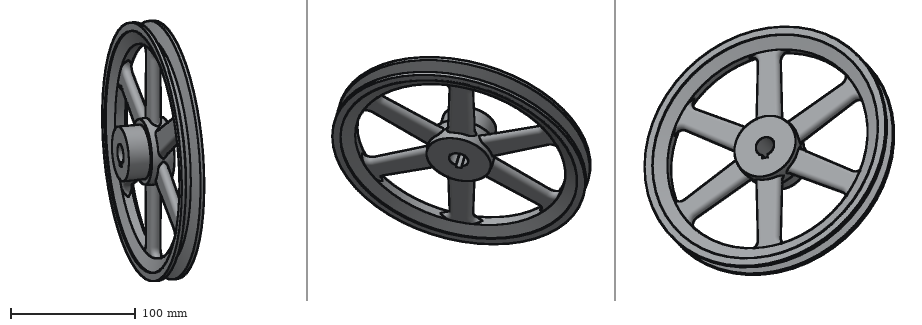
import cadquery as cq
import math

outer_radius = 209.55 / 2
rim_width = 19.05
overall_width = 37.31

groove_bottom_radius = 92.5
groove_bottom_width = 4.0
flange_land_width = 3.3

spoke_count = 6
spoke_side_radius = 4.2
spoke_thickness = 2 * spoke_side_radius
spoke_width_at_boss = 22.0
spoke_width_at_rim = 19.1
spoke_rim_fillet = 6.35
spoke_boss_fillet = 3.175

rim_inner_radius = 87.0
rim_mouth_radius = 98.0
rim_band_width = spoke_thickness
rim_lip_width = 1.0

hub_radius = 22.225
boss_face_radius = 26.6
boss_band_radius = 27.2
bore_diameter = 15.875
keyway_width = 4.7625
keyway_depth = 2.2

half_rim = rim_width / 2
hub_face_y = half_rim - overall_width


def revolve_about_y(points):
    """Revolve a closed (radius, y) outline about the Y axis."""
    return cq.Workplane("XY").polyline(points).close().revolve(360, (0, 0, 0), (0, 1, 0))


def make_rim():
    half_bottom = groove_bottom_width / 2
    land_edge = half_rim - flange_land_width
    half_band = rim_band_width / 2
    lip_edge = half_rim - rim_lip_width
    return revolve_about_y([
        (rim_inner_radius, -half_band),
        (rim_mouth_radius, -lip_edge),
        (rim_mouth_radius, -half_rim),
        (outer_radius, -half_rim),
        (outer_radius, -land_edge),
        (groove_bottom_radius, -half_bottom),
        (groove_bottom_radius, half_bottom),
        (outer_radius, land_edge),
        (outer_radius, half_rim),
        (rim_mouth_radius, half_rim),
        (rim_mouth_radius, lip_edge),
        (rim_inner_radius, half_band),
    ])


def make_hub():
    """Boss with a plain band at the spokes, drafted down to both faces, with the hub cylinder in front."""
    half_band = spoke_thickness / 2
    return revolve_about_y([
        (0, hub_face_y),
        (hub_radius, hub_face_y),
        (hub_radius, -half_rim),
        (boss_face_radius, -half_rim),
        (boss_band_radius, -half_band),
        (boss_band_radius, half_band),
        (boss_face_radius, half_rim),
        (0, half_rim),
    ])


def spoke_side_path():
    """Centre line of a spoke's rounded +X side, as a wire in the XZ plane.

    It follows the leaning side of the spoke and bends outward at both ends, so that the
    rounded side runs tangentially into the boss and into the rim.
    """
    narrowing = (spoke_width_at_boss - spoke_width_at_rim) / 2
    lean = math.atan(narrowing / (rim_inner_radius - boss_band_radius))
    along = cq.Vector(-math.sin(lean), 0, math.cos(lean))
    outward = cq.Vector(math.cos(lean), 0, math.sin(lean))
    side_distance = cq.Vector(spoke_width_at_boss / 2, 0, boss_band_radius).dot(outward)

    def bend(fillet_radius, centre_distance, end_sign):
        """Start, middle and end of the arc around a fillet centred at a distance from the axis."""
        offset = side_distance + fillet_radius
        run = math.sqrt(centre_distance ** 2 - offset ** 2)
        centre = outward * offset + along * run
        arc_radius = fillet_radius + spoke_side_radius
        to_end = centre.normalized() * end_sign
        to_middle = (to_end - outward).normalized()
        return (
            centre - outward * arc_radius,
            centre + to_middle * arc_radius,
            centre + to_end * arc_radius,
        )

    boss_start, boss_middle, boss_end = bend(
        spoke_boss_fillet, boss_band_radius + spoke_boss_fillet, -1
    )
    rim_start, rim_middle, rim_end = bend(
        spoke_rim_fillet, rim_inner_radius - spoke_rim_fillet, 1
    )
    return cq.Wire.assembleEdges([
        cq.Edge.makeThreePointArc(boss_end, boss_middle, boss_start),
        cq.Edge.makeLine(boss_start, rim_start),
        cq.Edge.makeThreePointArc(rim_start, rim_middle, rim_end),
    ])


def make_spoke():
    """One spoke along +Z: a round-sided half and its mirror image, ending inside the rim."""
    path = spoke_side_path()
    section = cq.Plane(path.startPoint(), xDir=(0, 1, 0), normal=path.tangentAt(0))
    half_section = (
        cq.Workplane(section)
        .moveTo(spoke_side_radius, spoke_width_at_boss)
        .lineTo(spoke_side_radius, 0)
        .threePointArc((0, -spoke_side_radius), (-spoke_side_radius, 0))
        .lineTo(-spoke_side_radius, spoke_width_at_boss)
        .close()
    )
    spoke_end_radius = (rim_inner_radius + groove_bottom_radius) / 2
    reach = (
        cq.Workplane("XZ")
        .moveTo(0, -spoke_end_radius)
        .threePointArc((spoke_end_radius, 0), (0, spoke_end_radius))
        .close()
        .extrude(spoke_thickness, both=True)
    )
    half_spoke = half_section.sweep(cq.Workplane(path)).intersect(reach)
    return half_spoke.union(half_spoke.mirror("YZ"))


def cut_bore(body):
    bore = cq.Workplane("XZ").circle(bore_diameter / 2).extrude(overall_width, both=True)
    keyway_height = bore_diameter / 2 + keyway_depth
    keyway = (
        cq.Workplane("XZ")
        .center(0, -keyway_height / 2)
        .rect(keyway_width, keyway_height)
        .extrude(overall_width, both=True)
    )
    return body.cut(bore).cut(keyway)


spoke = make_spoke()
result = make_rim().union(make_hub())
for i in range(spoke_count):
    result = result.union(spoke.rotate((0, 0, 0), (0, 1, 0), i * 360 / spoke_count))
result = cut_bore(result)